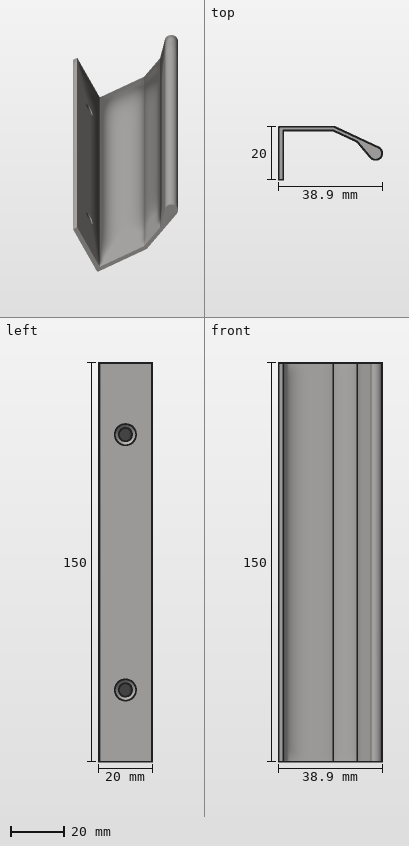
import cadquery as cq
import math

width = 38.94
leg_depth = 20.0
length = 150.0

leg_wall = 1.8
plate_wall = 1.5
corner_radius = 0.5
inner_corner_radius = 0.2
bend_distance = 20.9
bend_angle = math.radians(25)
neck_distance = 29.5
bulb_radius = 2.5

hole_spacing = 96.0
hole_diameter = 5.0
countersink_diameter = 8.0
countersink_angle = 90.0

left = -width / 2
right = width / 2
back = leg_depth / 2
front = -leg_depth / 2
inner_left = left + leg_wall
inner_back = back - plate_wall

slope = math.tan(bend_angle)
outer_bend_x = left + bend_distance
inner_bend_x = outer_bend_x - plate_wall * math.tan(bend_angle / 2)
bulb_x = right - bulb_radius
bulb_y = back - (bulb_x - outer_bend_x) * slope - bulb_radius / math.cos(bend_angle)

neck_x = left + neck_distance
neck = (neck_x, inner_back - (neck_x - inner_bend_x) * slope)


def on_bulb(angle):
    """Point of the bulb circle at an angle measured from +X."""
    return (bulb_x + bulb_radius * math.cos(angle), bulb_y + bulb_radius * math.sin(angle))


def lower_tangent_angle():
    """Angle on the bulb where the line from the neck touches its lower side."""
    dx = neck[0] - bulb_x
    dy = neck[1] - bulb_y
    return math.atan2(dy, dx) + math.acos(bulb_radius / math.hypot(dx, dy))


def make_profile_body():
    """Constant section: leg, back plate, sloping lip and rounded grip bulb."""
    return (
        cq.Workplane("XY")
        .workplane(offset=-length / 2)
        .moveTo(left, front)
        .lineTo(left, back)
        .lineTo(outer_bend_x, back)
        .lineTo(*on_bulb(math.pi / 2 - bend_angle))
        .threePointArc((right, bulb_y), on_bulb(lower_tangent_angle()))
        .lineTo(*neck)
        .lineTo(inner_bend_x, inner_back)
        .lineTo(inner_left, inner_back)
        .lineTo(inner_left, front)
        .close()
        .extrude(length)
    )


def round_corner(body):
    """Round the outer and inner edges where the leg meets the back plate."""
    outer = cq.selectors.NearestToPointSelector((left, back, 0))
    inner = cq.selectors.NearestToPointSelector((inner_left, inner_back, 0))
    return body.edges(outer).fillet(corner_radius).edges(inner).fillet(inner_corner_radius)


def cut_screw_holes(body):
    """Countersunk holes through the leg, entered from its outer face."""
    return (
        body.faces("<X")
        .workplane(origin=(left, 0, 0))
        .pushPoints([(0, -hole_spacing / 2), (0, hole_spacing / 2)])
        .cskHole(hole_diameter, countersink_diameter, countersink_angle, depth=leg_wall)
    )


result = cut_screw_holes(round_corner(make_profile_body()))